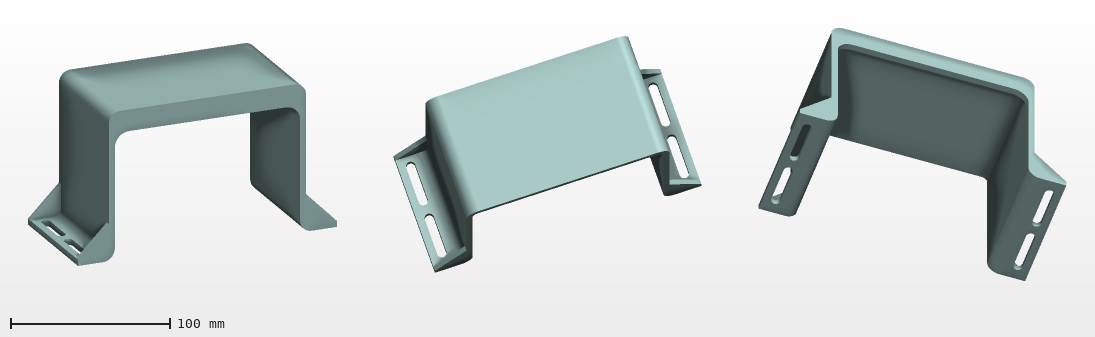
import cadquery as cq

width = 80.0
length = 177.0
height = 100.0
sheet = 4.0
bend_outer = 8.0
bend_inner = bend_outer - sheet
foot_reach = 21.0

gusset_thickness = 3.2

slot_length = 30.1
slot_width = 6.0
slot_offset = 18.0
slot_edge = 8.0

web_drop = 14.5
web_radius = 10.0
web_thickness = sheet

half_length = length / 2
leg_outer = half_length - foot_reach
leg_inner = leg_outer - sheet
half_width = width / 2


def block(y_size, z_bottom, z_top, x_size=width):
    """Block centred on X and Y."""
    return cq.Workplane("XY").box(
        x_size, y_size, z_top - z_bottom, centered=(True, True, False)
    ).translate((0, 0, z_bottom))


def bent_sheet():
    """Hat section with rounded bends and outward feet."""
    outer = block(2 * leg_outer, 0, height).edges("|X and >Z").fillet(bend_outer)
    feet = block(length, 0, sheet)
    body = outer.union(feet)

    foot_corners = cq.selectors.BoxSelector(
        (-half_width, -leg_outer - sheet / 2, sheet / 2),
        (half_width, leg_outer + sheet / 2, sheet * 3 / 2),
    )
    body = body.edges("|X").edges(foot_corners).fillet(bend_inner)

    opening = block(2 * leg_inner, 0, height - sheet)
    opening = opening.edges("|X and >Z").fillet(bend_inner)
    body = body.cut(opening)

    leg_bottoms = cq.selectors.BoxSelector(
        (-half_width, -leg_inner - sheet / 2, -sheet / 2),
        (half_width, leg_inner + sheet / 2, sheet / 2),
    )
    return body.edges("|X").edges(leg_bottoms).fillet(bend_outer)


def gusset(x_start, side):
    """45 degree triangular plate on the foot at the given Y side."""
    return (
        cq.Workplane("YZ", origin=(x_start, 0, 0))
        .moveTo(side * leg_outer, sheet)
        .lineTo(side * half_length, sheet)
        .lineTo(side * leg_outer, sheet + foot_reach)
        .close()
        .extrude(gusset_thickness)
    )


def stiffening_web():
    """Web closing the top of the +X end, blended into both legs."""
    web = block(2 * leg_inner, height - web_drop - web_radius, height - sheet, web_thickness)
    opening = block(2 * leg_inner, 0, height - web_drop, web_thickness)
    opening = opening.edges("|X and >Z").fillet(web_radius)
    web = web.cut(opening)

    web = web.edges("|X and >Z").fillet(bend_inner)
    return web.translate((half_width - web_thickness / 2, 0, 0))


def mounting_slots():
    slot_y = half_length - slot_edge
    centres = [(x, y) for x in (-slot_offset, slot_offset) for y in (-slot_y, slot_y)]
    return cq.Workplane("XY").pushPoints(centres).slot2D(slot_length, slot_width).extrude(sheet)


result = bent_sheet().union(stiffening_web())
for foot_side in (-1, 1):
    for gusset_x in (-half_width, half_width - gusset_thickness):
        result = result.union(gusset(gusset_x, foot_side))
result = result.cut(mounting_slots())